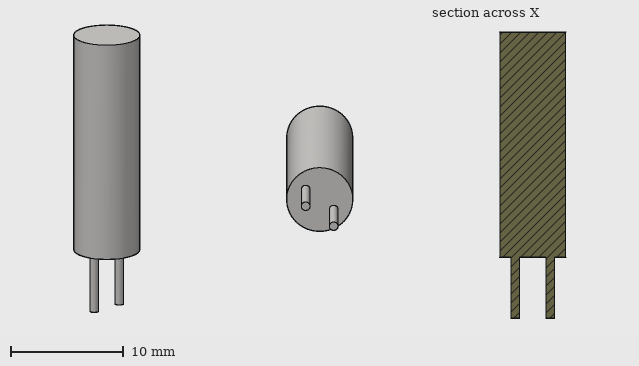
import cadquery as cq

total_height = 25.42
body_diameter = 5.9
body_height = 20.0
lead_diameter = 0.8
lead_spacing = 3.1
lead_length = total_height - body_height
lead_overlap = 0.25

body = cq.Workplane("XY").circle(body_diameter / 2).extrude(body_height)

lead_centers = [(0, -lead_spacing / 2), (0, lead_spacing / 2)]
leads = (
    cq.Workplane("XY")
    .workplane(offset=-lead_length)
    .pushPoints(lead_centers)
    .circle(lead_diameter / 2)
    .extrude(lead_length + lead_overlap)
)

result = body.union(leads)